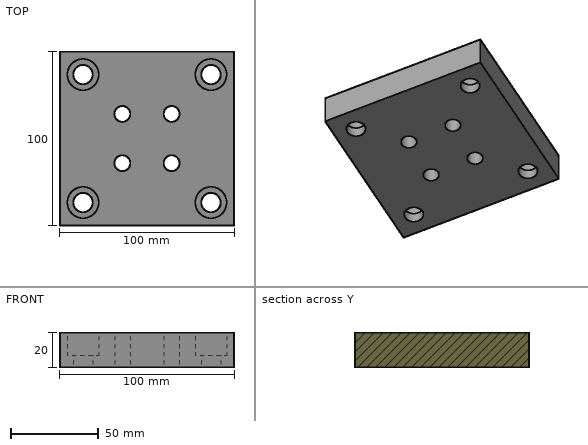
import cadquery as cq
import math

plate_side = 100
plate_thickness = 20

mount_spacing = 73.5
mount_diameter = 11
counterbore_diameter = 18
counterbore_depth = 13

bolt_circle_diameter = 40
bolt_hole_diameter = 9
bolt_spacing = bolt_circle_diameter / math.sqrt(2)


def square_pattern(spacing):
    """Four points at the corners of a centred square."""
    half = spacing / 2
    return [(x, y) for x in (-half, half) for y in (-half, half)]


plate = cq.Workplane("XY").box(plate_side, plate_side, plate_thickness)

plate = (
    plate.faces(">Z")
    .workplane()
    .pushPoints(square_pattern(mount_spacing))
    .cboreHole(mount_diameter, counterbore_diameter, counterbore_depth)
)

result = (
    plate.faces(">Z")
    .workplane()
    .pushPoints(square_pattern(bolt_spacing))
    .hole(bolt_hole_diameter)
)